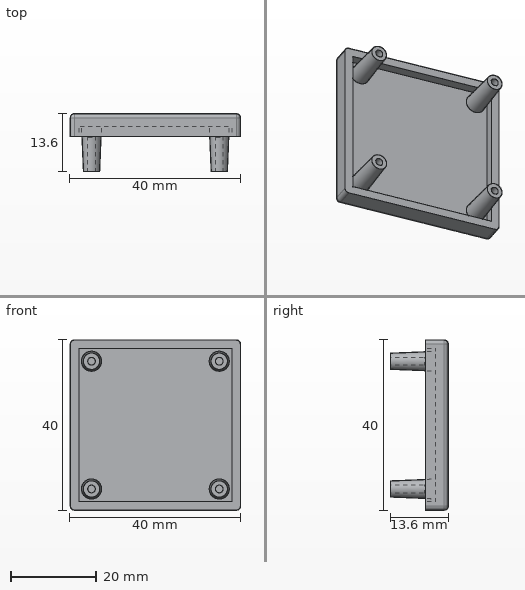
import cadquery as cq

side = 40.0
total_depth = 13.6
tray_depth = 5.4
wall = 2.0
floor = 3.0
edge_radius = 1.0

post_spacing = 30.0
post_base_diameter = 4.7
post_tip_diameter = 3.85
hole_diameter = 1.8
hole_depth = 8.0

post_height = total_depth - floor
pocket_side = side - 2 * wall


def make_tray():
    """Shallow box with rounded corners, a rounded back edge and a square pocket."""
    body = cq.Workplane("XZ").rect(side, side).extrude(tray_depth)
    body = body.edges("|Y").fillet(edge_radius)
    body = body.faces(">Y").edges().fillet(edge_radius)
    pocket = (
        cq.Workplane("XZ", origin=(0, -floor, 0))
        .rect(pocket_side, pocket_side)
        .extrude(tray_depth - floor)
    )
    return body.cut(pocket)


def make_post():
    """Cone frustum from the tray floor to the tip, with a blind hole in the tip."""
    post = (
        cq.Workplane("XZ", origin=(0, -floor, 0))
        .circle(post_base_diameter / 2)
        .workplane(offset=post_height)
        .circle(post_tip_diameter / 2)
        .loft(ruled=True)
    )
    hole = (
        cq.Workplane("XZ", origin=(0, hole_depth - total_depth, 0))
        .circle(hole_diameter / 2)
        .extrude(hole_depth)
    )
    return post.cut(hole)


result = make_tray()
post = make_post()
for x_sign in (-1, 1):
    for z_sign in (-1, 1):
        offset = (x_sign * post_spacing / 2, 0, z_sign * post_spacing / 2)
        result = result.union(post.translate(offset))